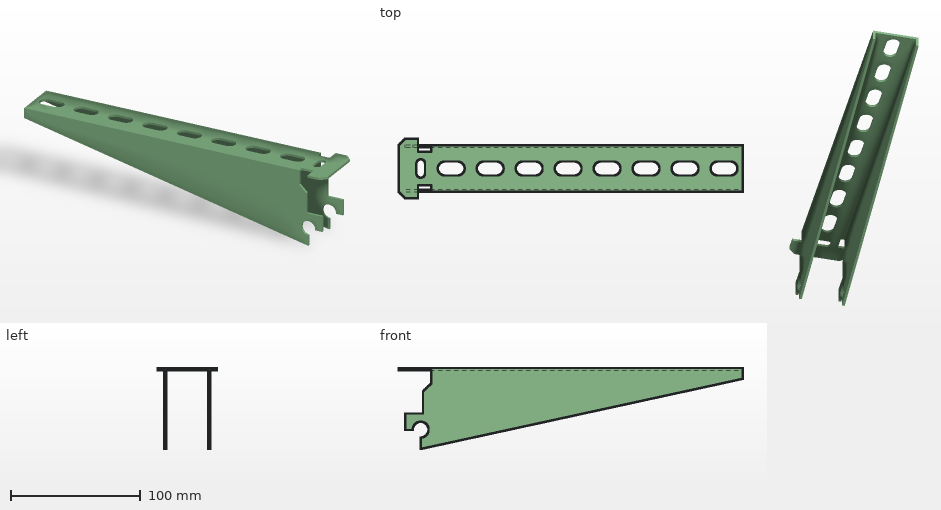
import cadquery as cq

LENGTH = 265.0
HEIGHT = 62.5
HEAD_WIDTH = 46.0
BODY_WIDTH = 36.0
SHEET = 2.0

HEAD_LENGTH = 15.0
HEAD_CHAMFER = 5.0
BODY_START = 25.0
NECK_WIDTH = 26.0

SLOT_LENGTH = 20.5
SLOT_WIDTH = 10.5
SLOT_COUNT = 8
SLOT_PITCH = 30.0
FIRST_SLOT_X = 40.5
CROSS_SLOT_LENGTH = 14.0
CROSS_SLOT_WIDTH = 6.5
CROSS_SLOT_X = 17.0

TIP_DEPTH = 8.5
SLOPE_TOP_DEPTH = 12.0
SLOPE_BOTTOM_DEPTH = 18.0
REAR_EDGE_X = 18.75
HOOK_X = 5.0
HOOK_TOP_DEPTH = 35.0
HOOK_BOTTOM_DEPTH = 48.0
NOTCH_X = 17.0
NOTCH_RADIUS = 6.0
NOTCH_DEPTH = 47.5


def make_top_plate():
    """Flat plate: chamfered head, narrow neck and full-width body."""
    head = (
        cq.Workplane("XY")
        .box(HEAD_LENGTH, HEAD_WIDTH, SHEET, centered=(False, True, False))
        .edges("|Z and <X")
        .chamfer(HEAD_CHAMFER)
    )
    neck = cq.Workplane("XY").box(BODY_START, NECK_WIDTH, SHEET, centered=(False, True, False))
    body = (
        cq.Workplane("XY")
        .box(LENGTH - BODY_START, BODY_WIDTH, SHEET, centered=(False, True, False))
        .translate((BODY_START, 0, 0))
    )
    return head.union(neck).union(body).translate((0, 0, -SHEET))


def make_plate_slots():
    """Cutters for the row of lengthwise slots and the single cross slot."""
    row_centers = [(FIRST_SLOT_X + i * SLOT_PITCH, 0) for i in range(SLOT_COUNT)]
    row = (
        cq.Workplane("XY")
        .pushPoints(row_centers)
        .slot2D(SLOT_LENGTH, SLOT_WIDTH)
        .extrude(-SHEET)
    )
    cross = (
        cq.Workplane("XY")
        .center(CROSS_SLOT_X, 0)
        .slot2D(CROSS_SLOT_LENGTH, CROSS_SLOT_WIDTH, 90)
        .extrude(-SHEET)
    )
    return row.union(cross)


def make_side_wall(low_y):
    """Tapered wall spanning from low_y to low_y + SHEET, with a round notch open to the rear and below."""
    blank = (
        cq.Workplane("XZ", origin=(0, low_y, 0))
        .moveTo(BODY_START, 0)
        .lineTo(LENGTH, 0)
        .lineTo(LENGTH, -TIP_DEPTH)
        .lineTo(NOTCH_X, -HEIGHT)
        .lineTo(NOTCH_X, -HOOK_BOTTOM_DEPTH)
        .lineTo(HOOK_X, -HOOK_BOTTOM_DEPTH)
        .lineTo(HOOK_X, -HOOK_TOP_DEPTH)
        .lineTo(REAR_EDGE_X, -HOOK_TOP_DEPTH)
        .lineTo(REAR_EDGE_X, -SLOPE_BOTTOM_DEPTH)
        .lineTo(BODY_START, -SLOPE_TOP_DEPTH)
        .close()
        .extrude(-SHEET)
    )
    notch = (
        cq.Workplane("XZ", origin=(0, low_y, 0))
        .center(NOTCH_X, -NOTCH_DEPTH)
        .circle(NOTCH_RADIUS)
        .extrude(-SHEET)
    )
    return blank.cut(notch)


result = make_top_plate().cut(make_plate_slots())
for wall_y in (-BODY_WIDTH / 2, BODY_WIDTH / 2 - SHEET):
    result = result.union(make_side_wall(wall_y))